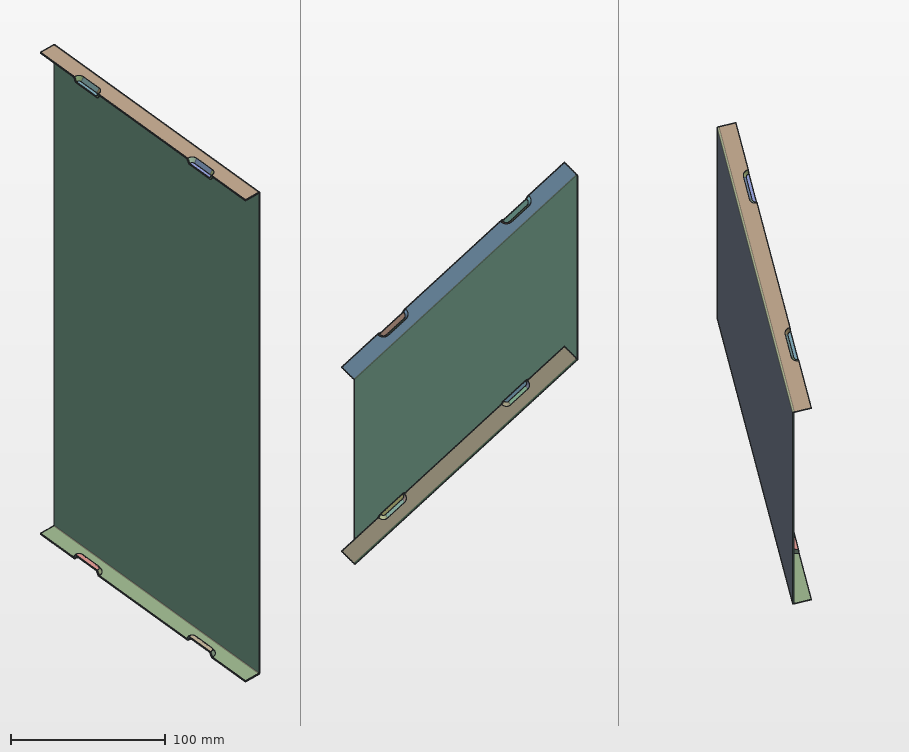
import cadquery as cq

width = 200.0
depth = 12.5
height = 404.5
sheet = 1.0
inner_bend_radius = 0.2
outer_bend_radius = inner_bend_radius + sheet

dimple_pitch = 110.5
dimple_width = 25.0
dimple_reach = 5.3
dimple_drop = 3.2
dimple_corner_radius = 5.0
dimple_draft = 30.0

front_y = -depth / 2
top_z = height / 2


def make_channel():
    """Bent sheet, extruded along X with rounded bends."""
    outer = cq.Workplane("XY").box(width, depth, height)
    outer = outer.edges("|X and >Y").fillet(outer_bend_radius)
    cavity = (
        cq.Workplane("XY")
        .box(width, depth, height - 2 * sheet)
        .edges("|X and >Y")
        .fillet(inner_bend_radius)
        .translate((0, -sheet, 0))
    )
    return outer.cut(cavity)


def tapered_block(center_x, start_z, block_width, reach, corner_radius):
    """Rounded block behind the flange edge, narrowing downwards from start_z."""
    block = (
        cq.Workplane("XY", origin=(center_x, front_y, start_z))
        .sketch()
        .rect(block_width, 2 * reach)
        .vertices()
        .fillet(corner_radius)
        .finalize()
        .extrude(-dimple_drop, taper=dimple_draft)
    )
    behind_edge = cq.Workplane("XY").box(width, depth, height)
    return block.intersect(behind_edge)


def make_top_dimple(center_x):
    """Return the pressed metal and the hollow of one dimple in the top flange."""
    metal = tapered_block(center_x, top_z - sheet, dimple_width, dimple_reach, dimple_corner_radius)
    hollow = tapered_block(
        center_x,
        top_z,
        dimple_width - 2 * sheet,
        dimple_reach - sheet,
        dimple_corner_radius - sheet,
    )
    return metal, hollow


result = make_channel()
for center_x in (-dimple_pitch / 2, dimple_pitch / 2):
    top_metal, top_hollow = make_top_dimple(center_x)
    result = result.union(top_metal).cut(top_hollow)
    result = result.union(top_metal.mirror("XY")).cut(top_hollow.mirror("XY"))